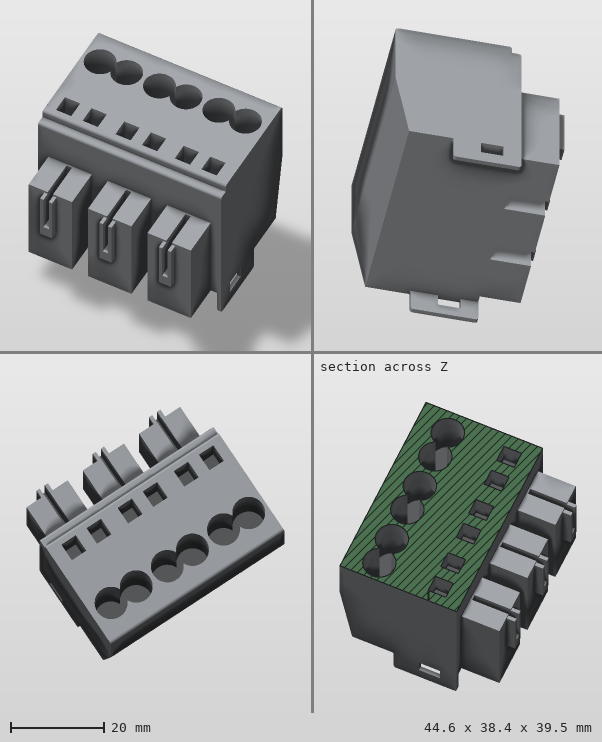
import cadquery as cq

width = 44.6
height = 39.5
body_depth = 27.55
body_bottom = 5.95
step_depth = 2.05
step_height = 1.9
taper_start = 23.1
taper_depth = 3.0
edge_radius = 0.6
back_radius = 0.7

tab_thickness = 1.0
tab_depth = 14.8
tab_radius = 0.62
tab_root_radius = 0.35
window_front = 3.9
window_length = 5.0
window_height = 3.08

pole_count = 3
pole_pitch = 14.45

block_width = 10.55
block_depth = 8.9
block_top = 28.05
nose_width = 2.95
nose_depth = 1.9
nose_top = 27.47
nose_bottom = 16.0
slot_width = 1.3
slot_bottom = 18.6
slot_gap = 0.35

opening_shift = -0.35
opening_spacing = 6.45
wire_hole_diameter = 7.05
wire_hole_y = 20.15
wire_hole_depth = 17.85
release_width = 3.7
release_length = 4.05
release_front = 3.7
release_depth = 11.15

pole_centres = [(i - (pole_count - 1) / 2) * pole_pitch for i in range(pole_count)]


def box(x_middle, x_size, y_min, y_max, z_min, z_max):
    """Box centred on x_middle and spanning the given Y and Z ranges."""
    return (
        cq.Workplane("XY")
        .box(x_size, y_max - y_min, z_max - z_min, centered=(True, False, False))
        .translate((x_middle, y_min, z_min))
    )


def make_housing():
    """Stepped and tapered side profile extruded over the full width, with rounded top edges."""
    step_z = height - step_height
    profile = [
        (0, body_bottom),
        (0, step_z),
        (step_depth, step_z),
        (step_depth, height),
        (body_depth, height),
        (body_depth, taper_start),
        (body_depth - taper_depth, body_bottom),
    ]
    housing = cq.Workplane("YZ").polyline(profile).close().extrude(width / 2, both=True)

    def round_edge(part, y, z, radius):
        return part.edges(cq.selectors.NearestToPointSelector((0, y, z))).fillet(radius)

    housing = round_edge(housing, 0, step_z, edge_radius)
    housing = round_edge(housing, step_depth, height, edge_radius)
    return round_edge(housing, body_depth, height, back_radius)


def make_tab(side):
    """Thin tab flush with one side wall, with a blended root and a rectangular window."""
    x_middle = side * (width - tab_thickness) / 2
    tab = box(x_middle, tab_thickness, 0, tab_depth, 0, body_bottom)
    tab = tab.edges("|X and <Z").fillet(tab_radius)
    root = box(
        x_middle, tab_thickness,
        tab_depth, tab_depth + tab_root_radius,
        body_bottom - tab_root_radius, body_bottom,
    )
    root_round = (
        cq.Workplane("YZ")
        .center(tab_depth + tab_root_radius, body_bottom - tab_root_radius)
        .circle(tab_root_radius)
        .extrude(width / 2, both=True)
    )
    window = box(
        x_middle, tab_thickness,
        window_front, window_front + window_length,
        body_bottom - window_height, body_bottom,
    )
    return tab.union(root.cut(root_round)).cut(window)


def make_plug_block(x):
    """Front block with a narrow nose, both split by a slot from the top."""
    nose_front = -block_depth - nose_depth
    block = box(x, block_width, -block_depth, 0, body_bottom, block_top)
    nose = box(x, nose_width, nose_front, -block_depth, nose_bottom, nose_top)
    slot = box(x, slot_width, nose_front, -slot_gap, slot_bottom, block_top)
    return block.union(nose).cut(slot)


def make_openings(x):
    """Two overlapping round wire holes and two rectangular release openings for one pole."""
    openings = cq.Workplane("XY")
    for side in (-1, 1):
        x_opening = x + opening_shift + side * opening_spacing / 2
        wire_hole = (
            cq.Workplane("XY", origin=(x_opening, wire_hole_y, height))
            .circle(wire_hole_diameter / 2)
            .extrude(-wire_hole_depth)
        )
        release = box(
            x_opening, release_width,
            release_front, release_front + release_length,
            height - release_depth, height,
        )
        openings = openings.add(wire_hole).add(release)
    return openings.combine()


result = make_housing()
for side in (-1, 1):
    result = result.union(make_tab(side))
for x in pole_centres:
    result = result.union(make_plug_block(x)).cut(make_openings(x))